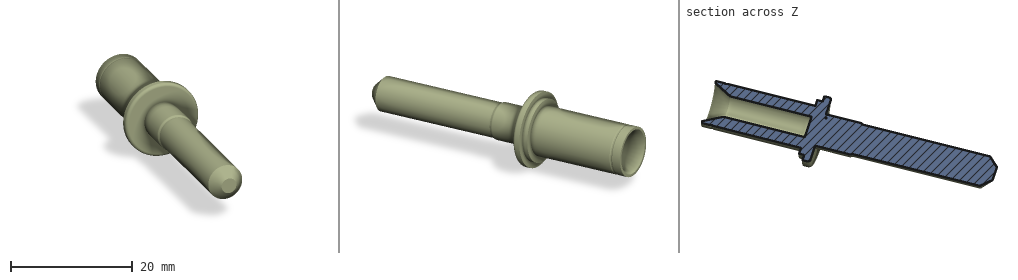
import cadquery as cq
import math

overall_length = 49.0

barrel_diameter = 8.5
groove_diameter = 8.3
groove_start = 1.5
groove_width = 0.5
groove_wall_length = 0.15

shoulder_diameter = 10.8
shoulder_start = 17.0
flange_diameter = 12.9
flange_start = 17.9
flange_end = 19.2
flange_round = 0.5

neck_diameter = 6.4
neck_round_start = 25.0
neck_round_length = 0.3
neck_round_drop = 0.1
pin_diameter = 6.0
pin_start = 25.55

tip_length = 1.7
tip_diameter = pin_diameter - 2 * tip_length

mouth_diameter = 7.6
bore_diameter = 4.0
lead_in_angle = 60.0
lead_in_depth = (mouth_diameter - bore_diameter) / 2 / math.tan(math.radians(lead_in_angle / 2))
bore_depth = shoulder_start


def turned_body():
    """Outer shape of the contact, revolved about the X axis."""
    barrel_radius = barrel_diameter / 2
    groove_radius = groove_diameter / 2
    groove_end = groove_start + groove_width
    shoulder_radius = shoulder_diameter / 2
    flange_radius = flange_diameter / 2
    neck_radius = neck_diameter / 2
    pin_radius = pin_diameter / 2
    neck_round_end = neck_round_start + neck_round_length
    neck_round_radius = (neck_round_length**2 + neck_round_drop**2) / (2 * neck_round_drop)
    profile = (
        cq.Workplane("XY")
        .lineTo(0, barrel_radius)
        .lineTo(groove_start, barrel_radius)
        .lineTo(groove_start + groove_wall_length, groove_radius)
        .lineTo(groove_end - groove_wall_length, groove_radius)
        .lineTo(groove_end, barrel_radius)
        .lineTo(shoulder_start, barrel_radius)
        .lineTo(shoulder_start, shoulder_radius)
        .lineTo(flange_start, shoulder_radius)
        .lineTo(flange_start, flange_radius)
        .lineTo(flange_end - flange_round, flange_radius)
        .radiusArc((flange_end, flange_radius - flange_round), flange_round)
        .lineTo(flange_end, neck_radius)
        .lineTo(neck_round_start, neck_radius)
        .radiusArc((neck_round_end, neck_radius - neck_round_drop), neck_round_radius)
        .lineTo(pin_start, pin_radius)
        .lineTo(overall_length - tip_length, pin_radius)
        .lineTo(overall_length, tip_diameter / 2)
        .lineTo(overall_length, 0)
        .close()
    )
    return profile.revolve(360, (0, 0, 0), (1, 0, 0))


def socket_cavity():
    """Conical lead-in and blind bore, open at the barrel end."""
    bore_radius = bore_diameter / 2
    profile = (
        cq.Workplane("XY")
        .lineTo(0, mouth_diameter / 2)
        .lineTo(lead_in_depth, bore_radius)
        .lineTo(bore_depth, bore_radius)
        .lineTo(bore_depth, 0)
        .close()
    )
    return profile.revolve(360, (0, 0, 0), (1, 0, 0))


result = turned_body().cut(socket_cavity())